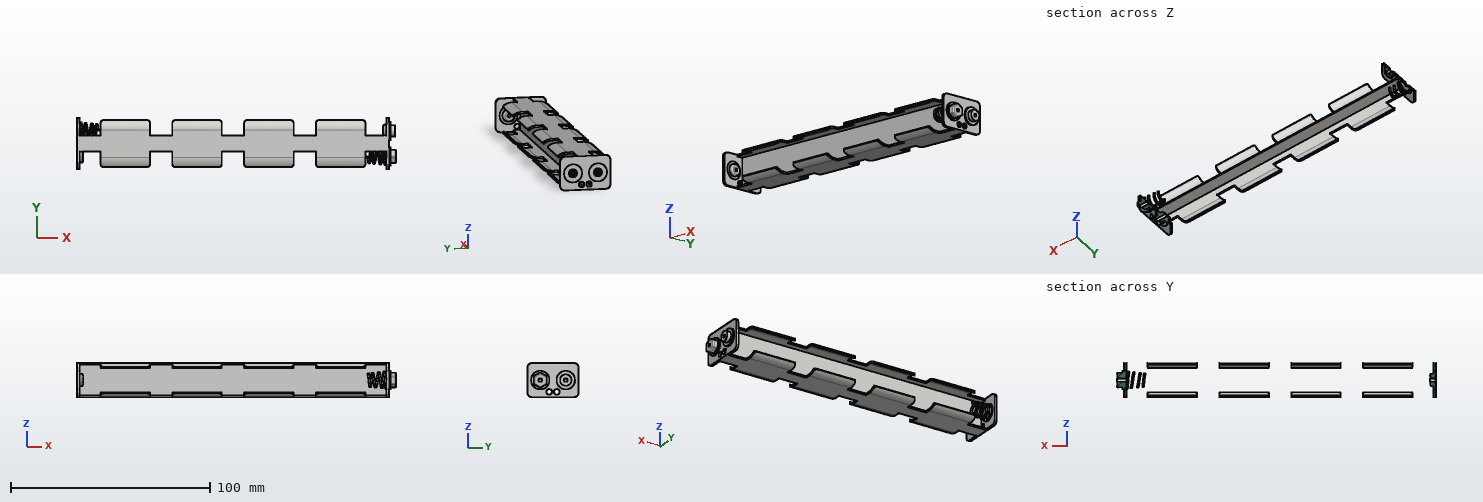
import cadquery as cq
import math

total_length = 160.0
holder_length = 156.4
plate_width = 25.7
plate_height = 17.3
sheet = 1.0
plate_sheet = 1.3
plate_corner_radius = 2.4

clasp_count = 4
clasp_length = 25.0
clasp_pitch = 36.0
clasp_corner_radius = 1.6
clasp_width = 23.7
clasp_flat_width = 13.9
clasp_radius = 7.0
strip_width = 8.2

wire_hole_diameter = 2.7
wire_hole_offset = 1.9
wire_hole_drop = 5.9

cell_offset = 6.4
disc_radius = 4.6
disc_overhang = 0.8
eyelet_radii = (2.0, 1.6, 1.1)
eyelet_step = 0.2
bore_radius = 0.8
button_radius = 3.2
button_reach = 3.0
button_rounding = 1.0
stud_radius = 2.9
stud_end_gap = 0.5
socket_sides = 6
socket_flats = 6.7
socket_rounding = 0.6

wire_radius = 0.5
spring_base_radius = 4.0
spring_tip_radius = 3.0
spring_turns = 3.5
spring_base_x = 1.5
spring_tip_x = 10.4
end_flattening = 0.3
spring_samples = 100

terminal_end = total_length - holder_length


def clasp_profile():
    """Flat band whose two edges curl down along arcs, with square-cut ends."""
    half_flat = clasp_flat_width / 2
    top = plate_height / 2
    centre_z = top - clasp_radius
    inner_radius = clasp_radius - sheet
    end_angle = math.asin((clasp_width / 2 - half_flat) / clasp_radius)

    def on_curl(radius, angle, side):
        return side * (half_flat + radius * math.sin(angle)), centre_z + radius * math.cos(angle)

    return (
        cq.Workplane("YZ")
        .moveTo(-half_flat, top)
        .lineTo(half_flat, top)
        .threePointArc(on_curl(clasp_radius, end_angle / 2, 1), on_curl(clasp_radius, end_angle, 1))
        .lineTo(*on_curl(inner_radius, end_angle, 1))
        .threePointArc(on_curl(inner_radius, end_angle / 2, 1), (half_flat, top - sheet))
        .lineTo(-half_flat, top - sheet)
        .threePointArc(on_curl(inner_radius, end_angle / 2, -1), on_curl(inner_radius, end_angle, -1))
        .lineTo(*on_curl(clasp_radius, end_angle, -1))
        .threePointArc(on_curl(clasp_radius, end_angle / 2, -1), (-half_flat, top))
        .close()
    )


def make_clasp():
    """One upper clasp with rounded corners, starting at X = 0."""
    outline = (
        cq.Workplane("XY")
        .box(clasp_length, clasp_width, plate_height, centered=(False, True, True))
        .edges("|Z")
        .fillet(clasp_corner_radius)
    )
    return clasp_profile().extrude(clasp_length).intersect(outline)


def make_end_plate():
    """Rounded plate with holes for the contact discs and the wires, starting at X = 0."""
    return (
        cq.Workplane("YZ")
        .rect(plate_width, plate_height)
        .extrude(plate_sheet)
        .edges("|X")
        .fillet(plate_corner_radius)
        .faces("<X")
        .workplane(origin=(0, 0, 0))
        .pushPoints([(-cell_offset, 0), (cell_offset, 0)])
        .hole(2 * disc_radius)
        .faces("<X")
        .workplane(origin=(0, 0, 0))
        .pushPoints([(-wire_hole_offset, -wire_hole_drop), (wire_hole_offset, -wire_hole_drop)])
        .hole(wire_hole_diameter)
    )


def make_housing():
    """End plates, the middle web, and upper and lower strips with their clasps."""
    inner_length = holder_length - 2 * plate_sheet
    middle = cq.Workplane("XY").center(holder_length / 2, 0)
    web = middle.box(inner_length, sheet, plate_height)
    upper = middle.workplane(offset=(plate_height - sheet) / 2).box(inner_length, strip_width, sheet)
    first_clasp_x = (holder_length - (clasp_count - 1) * clasp_pitch - clasp_length) / 2
    clasp = make_clasp()
    for index in range(clasp_count):
        upper = upper.union(clasp.translate((first_clasp_x + index * clasp_pitch, 0, 0)))
    plate = make_end_plate()
    return (
        web.union(upper)
        .union(upper.mirror("XY"))
        .union(plate)
        .union(plate.translate((holder_length - plate_sheet, 0, 0)))
    )


def cylinder(radius, start, end):
    """Round bar along X, with its seam on top."""
    return (
        cq.Workplane("XZ")
        .moveTo(start, 0)
        .lineTo(end, 0)
        .lineTo(end, radius)
        .lineTo(start, radius)
        .close()
        .revolve(360, (0, 0, 0), (1, 0, 0))
    )


def coil_point(progress):
    """Point on the coil axis; progress runs from 0 at the disc to 1 at the tip.

    The coil starts at the bottom, narrows evenly and climbs less steeply near its two ends.
    """
    angle = 2 * math.pi * spring_turns * progress
    radius = spring_base_radius + (spring_tip_radius - spring_base_radius) * progress
    climb = progress - end_flattening * math.sin(2 * math.pi * progress) / (2 * math.pi)
    x = spring_base_x + (spring_tip_x - spring_base_x) * climb
    return x, radius * math.sin(angle), -radius * math.cos(angle)


def make_spring():
    """Conical coil of round wire."""
    path = cq.Workplane("XY").parametricCurve(coil_point, N=spring_samples, makeWire=True)
    wire = cq.Workplane("XZ").center(spring_base_x, -spring_base_radius).circle(wire_radius)
    return wire.sweep(path, isFrenet=True)


def cut_bore(contact):
    """Cut a small bore through the whole contact."""
    return contact.cut(cylinder(bore_radius, -terminal_end, spring_tip_x))


def cut_eyelet(contact):
    """Sink shallow steps around the bore, each narrower and deeper than the last."""
    for index, radius in enumerate(eyelet_radii):
        contact = contact.cut(cylinder(radius, 0, (index + 1) * eyelet_step))
    return contact


def make_button(outer_x):
    """Disc whose outer face is at outer_x, with a rounded button on the cell side."""
    button = cylinder(button_radius, 0, button_reach).faces(">X").edges().fillet(button_rounding)
    return cylinder(disc_radius, outer_x, plate_sheet).union(button)


def make_spring_disc(outer_x):
    """Disc whose outer face is at outer_x, with a spring on the cell side."""
    return cylinder(disc_radius, outer_x, plate_sheet).union(make_spring())


def make_stud():
    """Round male snap terminal."""
    return cylinder(stud_radius, stud_end_gap - terminal_end, 0)


def make_socket():
    """Hexagonal female snap terminal with two corners pointing up and down."""
    corner_diameter = socket_flats / math.cos(math.pi / socket_sides)
    return (
        cq.Workplane("YZ")
        .polygon(socket_sides, corner_diameter)
        .extrude(-terminal_end)
        .rotate((0, 0, 0), (1, 0, 0), 90)
        .edges("|X")
        .fillet(socket_rounding)
        .faces("<X")
        .edges()
        .fillet(socket_rounding)
    )


def at_left(contact, side):
    """Move a contact to the left plate, on the +Y or -Y side."""
    return contact.translate((0, side * cell_offset, 0))


def at_right(contact, side):
    """Turn a contact to face the right plate's cells, on the +Y or -Y side."""
    return contact.rotate((0, 0, 0), (0, 0, 1), 180).translate((holder_length, side * cell_offset, 0))


housing = make_housing()
left_button = at_left(cut_bore(cut_eyelet(make_button(0))), -1)
left_spring = at_left(cut_bore(cut_eyelet(make_spring_disc(0))), 1)
right_button = at_right(cut_bore(make_button(-disc_overhang).union(make_stud())), 1)
right_spring = at_right(cut_bore(make_spring_disc(-disc_overhang).union(make_socket())), -1)

result = cq.Compound.makeCompound(
    [housing.val(), left_button.val(), left_spring.val(), right_button.val(), right_spring.val()]
)